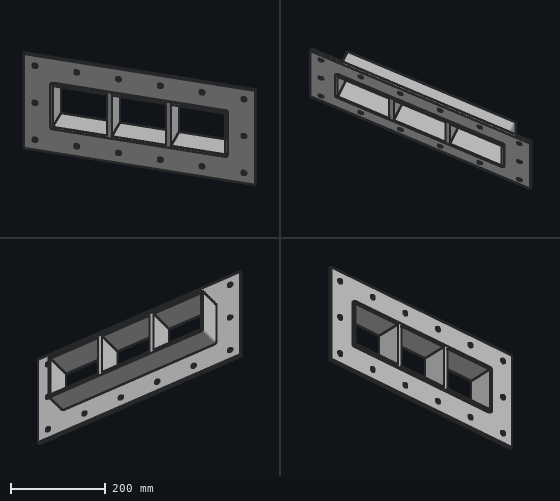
import cadquery as cq

plate_width = 513.5
plate_height = 233.0
plate_thickness = 6.0

frame_width = 394.0
frame_height = 113.5
frame_depth = 60.0
frame_corner_radius = 6.0
front_lip = 3.0

window_count = 3
window_width = 120.0
window_height = 101.0
window_pitch = 131.0

hole_diameter = 10.5
hole_columns = 6
hole_rows = 3
hole_edge_margin = 25.0
hole_pitch_x = (plate_width - 2 * hole_edge_margin) / (hole_columns - 1)
hole_pitch_z = (plate_height - 2 * hole_edge_margin) / (hole_rows - 1)


def block(width, depth, height, front_y):
    """Block centred on X and Z, reaching back from front_y along +Y."""
    return cq.Workplane("XY").box(width, depth, height).translate((0, front_y + depth / 2, 0))


def row_positions(count, pitch):
    """Evenly spaced positions centred on zero."""
    return [(i - (count - 1) / 2) * pitch for i in range(count)]


def bolt_points():
    """Hole centres along the border of the bolt grid."""
    xs = row_positions(hole_columns, hole_pitch_x)
    zs = row_positions(hole_rows, hole_pitch_z)
    return [(x, z) for x in xs for z in zs if x in (xs[0], xs[-1]) or z in (zs[0], zs[-1])]


plate = block(plate_width, plate_thickness, plate_height, 0)
bolt_holes = (
    cq.Workplane("XZ").pushPoints(bolt_points()).circle(hole_diameter / 2).extrude(-plate_thickness)
)

frame = block(frame_width, frame_depth, frame_height, -front_lip).edges("|Y").fillet(frame_corner_radius)

result = plate.cut(bolt_holes).union(frame)
for window_x in row_positions(window_count, window_pitch):
    window = block(window_width, frame_depth, window_height, -front_lip)
    result = result.cut(window.translate((window_x, 0, 0)))